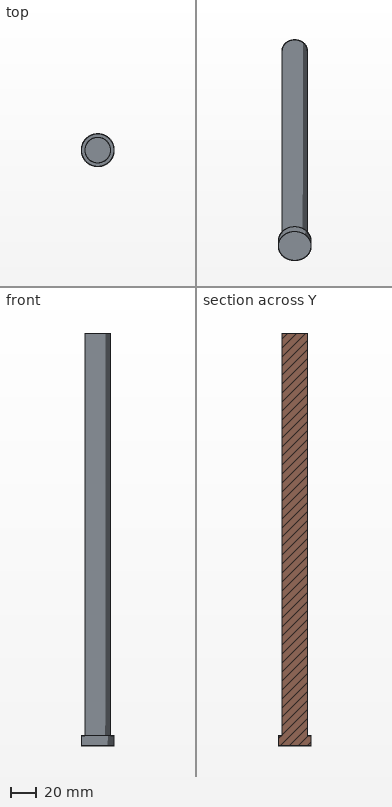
import cadquery as cq

total_length = 323.0
shaft_diameter = 20.0
head_diameter = 26.0
head_thickness = 8.0

head = cq.Workplane("XY").circle(head_diameter / 2).extrude(head_thickness)
shaft = cq.Workplane("XY").circle(shaft_diameter / 2).extrude(total_length)

result = head.union(shaft)